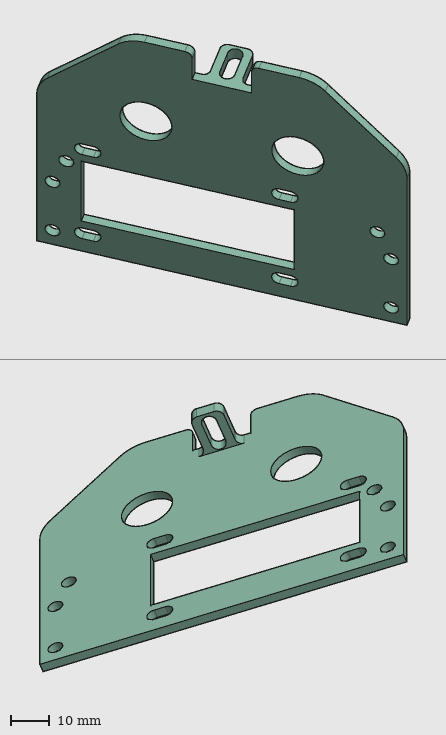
import cadquery as cq

plate_width = 100.0
plate_height = 85.0
plate_thickness = 2.5
corner_cut = 25.0
corner_radius = 10.0

notch_width = 16.0
notch_depth = 10.0
notch_radius = 2.0

total_depth = 14.5
tab_width = 8.8
tab_height = 3.7
tab_tip_radius = 2.0
tab_root_radius = 1.8
tab_slot_width = 4.0
tab_slot_length = 10.8
tab_slot_tip_wall = 0.9

large_hole_diameter = 14.0
large_hole_x = 20.5
large_hole_z = 55.0

small_hole_diameter = 4.0
small_hole_places = [(45.7, 5.4), (45.7, 23.8), (42.0, 32.9)]

window_width = 57.5
window_height = 22.7
window_center_x = -9.2
window_center_z = 22.8
slot_length = 7.1
slot_width = 4.0
slot_center_x = -9.6
slot_spacing_x = 53.2
slot_spacing_z = 32.0


def plate_sketch():
    """Drawing plane on the front face; extruding by a negative length goes toward +Y."""
    return cq.Workplane("XZ")


def make_plate():
    half_width = plate_width / 2
    shoulder_x = half_width - corner_cut
    shoulder_z = plate_height - corner_cut
    notch_x = notch_width / 2
    notch_z = plate_height - notch_depth
    plate = (
        plate_sketch()
        .polyline([
            (-half_width, 0),
            (half_width, 0),
            (half_width, shoulder_z),
            (shoulder_x, plate_height),
            (notch_x, plate_height),
            (notch_x, notch_z),
            (-notch_x, notch_z),
            (-notch_x, plate_height),
            (-shoulder_x, plate_height),
            (-half_width, shoulder_z),
        ])
        .close()
        .extrude(-plate_thickness)
    )
    for side in (-1, 1):
        for x, z, radius in (
            (half_width, shoulder_z, corner_radius),
            (shoulder_x, plate_height, corner_radius),
            (notch_x, plate_height, notch_radius),
        ):
            corner = (side * x, plate_thickness / 2, z)
            plate = plate.edges(cq.selectors.NearestToPointSelector(corner)).fillet(radius)
    return plate


def make_tab():
    tab_x = tab_width / 2
    root_x = tab_x + tab_root_radius
    root_y = plate_thickness + tab_root_radius
    slot_center_y = total_depth - tab_slot_tip_wall - tab_slot_length / 2
    tab_bottom = plate_height - notch_depth - tab_height
    body = (
        cq.Workplane("XY", origin=(0, 0, tab_bottom))
        .moveTo(-root_x, 0)
        .lineTo(root_x, 0)
        .lineTo(root_x, plate_thickness)
        .radiusArc((tab_x, root_y), tab_root_radius)
        .lineTo(tab_x, total_depth - tab_tip_radius)
        .radiusArc((tab_x - tab_tip_radius, total_depth), -tab_tip_radius)
        .lineTo(tab_tip_radius - tab_x, total_depth)
        .radiusArc((-tab_x, total_depth - tab_tip_radius), -tab_tip_radius)
        .lineTo(-tab_x, root_y)
        .radiusArc((-root_x, plate_thickness), tab_root_radius)
        .close()
        .extrude(tab_height)
    )
    slot = (
        cq.Workplane("XY", origin=(0, slot_center_y, tab_bottom))
        .slot2D(tab_slot_length, tab_slot_width, 90)
        .extrude(tab_height)
    )
    return body.cut(slot)


def round_holes(places, diameter):
    """Through-hole cutters at the given places and at their mirror images about X = 0."""
    both_sides = [(side * x, z) for x, z in places for side in (-1, 1)]
    return plate_sketch().pushPoints(both_sides).circle(diameter / 2).extrude(-plate_thickness)


def make_window():
    return (
        plate_sketch()
        .center(window_center_x, window_center_z)
        .rect(window_width, window_height)
        .extrude(-plate_thickness)
    )


def make_mounting_slots():
    return (
        plate_sketch()
        .center(slot_center_x, window_center_z)
        .rarray(slot_spacing_x, slot_spacing_z, 2, 2)
        .slot2D(slot_length, slot_width)
        .extrude(-plate_thickness)
    )


result = (
    make_plate()
    .cut(round_holes([(large_hole_x, large_hole_z)], large_hole_diameter))
    .cut(round_holes(small_hole_places, small_hole_diameter))
    .cut(make_window())
    .cut(make_mounting_slots())
    .union(make_tab())
)